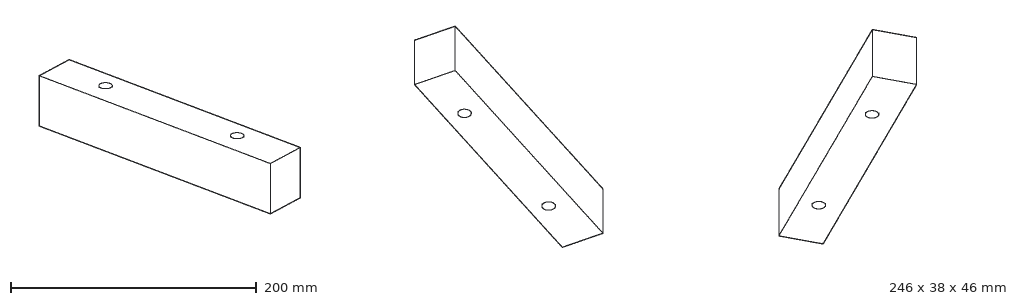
import cadquery as cq

length = 246.0
width = 38.0
height = 46.0

hole_diameter = 11.0
hole_spacing = 140.0
hole_to_back_face = 17.0
hole_y = width / 2 - hole_to_back_face


def make_block():
    """Rectangular bar centred on X and Y, resting on Z = 0."""
    return cq.Workplane("XY").box(length, width, height, centered=(True, True, False))


def drill_holes(block):
    """Two through holes, symmetric about mid-length and offset toward the back."""
    hole_centres = [(side * hole_spacing / 2, hole_y) for side in (-1, 1)]
    cutters = (
        cq.Workplane("XY")
        .pushPoints(hole_centres)
        .circle(hole_diameter / 2)
        .extrude(height)
    )
    return block.cut(cutters)


result = drill_holes(make_block())